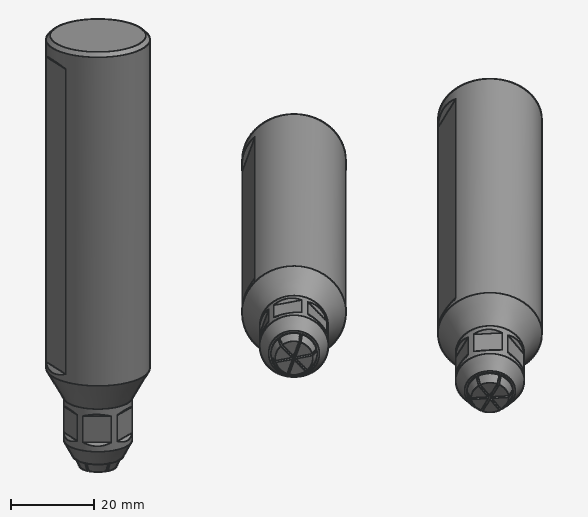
import cadquery as cq

length = 110.0

body_radius = 12.5
body_bottom = 25.0
top_chamfer = 1.0

neck_radius = 8.25
neck_bottom = 6.6
neck_top = 17.5

nose_end_radius = 6.1
collet_top = 2.6
collet_rim_height = 0.3
collet_top_radius = 5.55
collet_end_radius = 4.5
slit_width = 0.5
slit_count = 6

body_flat_distance = 11.5
body_flat_bottom = 27.0
body_flat_top = 105.0

neck_flat_count = 6
neck_flat_distance = 7.5
neck_flat_bottom = 8.75
neck_flat_top = 15.4


def turned_body():
    """Revolve the stepped half outline about the Z axis."""
    outline = [
        (0, 0),
        (collet_end_radius, 0),
        (collet_top_radius, collet_top - collet_rim_height),
        (collet_top_radius, collet_top),
        (nose_end_radius, collet_top),
        (neck_radius, neck_bottom),
        (neck_radius, neck_top),
        (body_radius, body_bottom),
        (body_radius, length - top_chamfer),
        (body_radius - top_chamfer, length),
        (0, length),
    ]
    return cq.Workplane("XZ").polyline(outline).close().revolve(360, (0, 0), (0, 1))


def flat_cutter(radius, distance, bottom, top, angle):
    """Cutter for a flat with 45-degree run-outs at both ends, turned about Z from +X."""
    depth = radius - distance
    outline = [
        (distance, bottom),
        (radius, bottom - depth),
        (radius, top + depth),
        (distance, top),
    ]
    cutter = cq.Workplane("XZ").polyline(outline).close().extrude(radius, both=True)
    return cutter.rotate((0, 0, 0), (0, 0, 1), angle)


def cut_body_flats(part):
    for angle in (-90, 90):
        cutter = flat_cutter(body_radius, body_flat_distance, body_flat_bottom, body_flat_top, angle)
        part = part.cut(cutter)
    return part


def cut_neck_flats(part):
    for index in range(neck_flat_count):
        angle = 90 + index * 360 / neck_flat_count
        cutter = flat_cutter(neck_radius, neck_flat_distance, neck_flat_bottom, neck_flat_top, angle)
        part = part.cut(cutter)
    return part


def cut_collet_slits(part):
    """Cut the collet into jaws; each cutter crosses the axis and makes two opposite slits."""
    span = 2 * collet_top_radius
    cutter = cq.Workplane("XY").box(span, slit_width, collet_top, centered=(True, True, False))
    for index in range(slit_count // 2):
        angle = index * 360 / slit_count
        part = part.cut(cutter.rotate((0, 0, 0), (0, 0, 1), angle))
    return part


result = turned_body()
result = cut_body_flats(result)
result = cut_neck_flats(result)
result = cut_collet_slits(result)